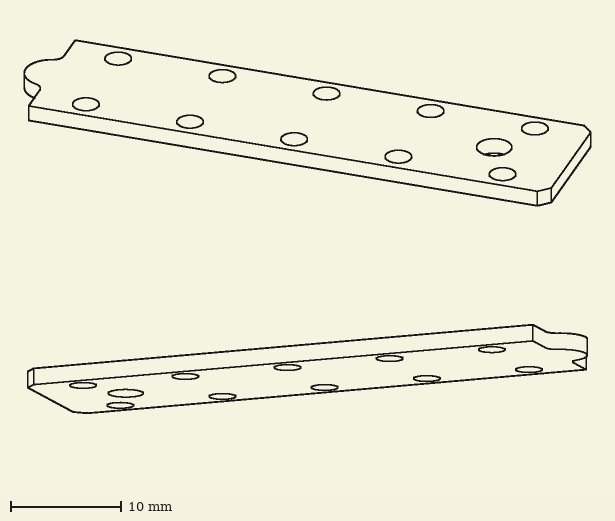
import cadquery as cq
import math

total_length = 52.3
plate_width = 12.95
thickness = 1.5
tab_projection = 2.5
plate_length = total_length - tab_projection
corner_chamfer = 1.0

tab_radius = tab_projection
tab_fillet_radius = 1.0

small_hole_diameter = 2.4
holes_per_row = 5
hole_pitch = 10.0
row_spacing = 9.0
last_hole_to_end = 5.0

large_hole_diameter = 3.2
large_hole_to_end = 7.4


def make_plate():
    plate = cq.Workplane("XY").box(plate_length, plate_width, thickness, centered=(False, True, False))
    return plate.edges("|Z and >X").chamfer(corner_chamfer)


def make_tab():
    """Tab whose nose arc is tangent to a fillet on each side, each tangent to the plate edge."""
    fillet_center_x = -tab_fillet_radius
    center_distance = tab_radius + tab_fillet_radius
    fillet_center_y = math.sqrt(center_distance**2 - fillet_center_x**2)

    nose_share = tab_radius / center_distance
    join_x = nose_share * fillet_center_x
    join_y = nose_share * fillet_center_y

    overlap = tab_radius
    return (
        cq.Workplane("XY")
        .moveTo(overlap, fillet_center_y)
        .lineTo(0, fillet_center_y)
        .radiusArc((join_x, join_y), tab_fillet_radius)
        .threePointArc((-tab_projection, 0), (join_x, -join_y))
        .radiusArc((0, -fillet_center_y), tab_fillet_radius)
        .lineTo(overlap, -fillet_center_y)
        .close()
        .extrude(thickness)
    )


def make_holes():
    last_hole_x = plate_length - last_hole_to_end
    small_hole_centers = [
        (last_hole_x - index * hole_pitch, side * row_spacing / 2)
        for index in range(holes_per_row)
        for side in (-1, 1)
    ]
    small_holes = (
        cq.Workplane("XY")
        .pushPoints(small_hole_centers)
        .circle(small_hole_diameter / 2)
        .extrude(thickness)
    )
    large_hole = (
        cq.Workplane("XY")
        .center(plate_length - large_hole_to_end, 0)
        .circle(large_hole_diameter / 2)
        .extrude(thickness)
    )
    return small_holes.add(large_hole).combine()


result = make_plate().union(make_tab()).cut(make_holes())